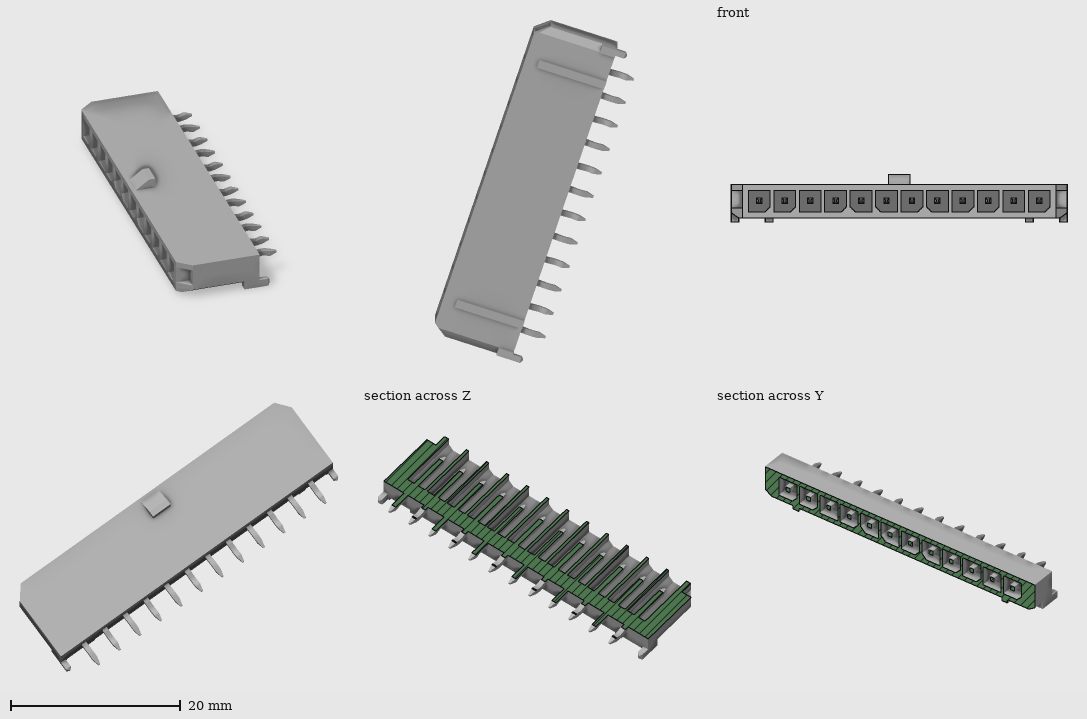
import cadquery as cq

length = 39.65
depth = 9.9
height = 3.95

corner_x = 1.35
corner_y = 1.65
window_bottom = 1.2
window_top = 3.25

bevel_x = 0.9
bevel_z = 0.65

end_margin = 3.35
cavity_size = 2.58
cavity_depth = 7.93
key_bevel = 0.65
keys = "RRNRLLRLRRNR"
pitch = (length - 2 * end_margin) / (len(keys) - 1)
cavity_centers = [end_margin + i * pitch for i in range(len(keys))]

latch_width = 2.55
latch_height = 1.2
latch_front = 0.48
latch_crest = 2.15
latch_rear = 2.9

standoff = 0.48
rail_offset = 4.0
rail_width = 0.95
rail_front = 1.55
foot_front = 8.05

tail_width = 0.67
tail_top = 0.48
tail_length = 1.3
tail_tip_length = 0.25
tail_tip_inset = 0.28

pin_z = 2.02
pin_width = 0.65
pin_height = 0.67
pin_tip = 0.25
pin_front = 2.38
front_taper = 0.8
rear_reach = 3.15
rear_taper = 0.87

kink_start = 0.48
kink_end = rear_reach - rear_taper
outer_arc = [(0.7, 0.08), (1.25, 0.15), (1.9, 0.08)]
inner_arc = [(1.07, 0.15), (1.45, 0.2), (1.82, 0.1)]
inner_blend = (2.05, 0.025)


def box(x0, x1, y0, y1, z0, z1):
    return cq.Workplane("XY").box(x1 - x0, y1 - y0, z1 - z0, centered=False).translate((x0, y0, z0))


def both_ends(shape):
    """Join a shape at the X = 0 end with its mirror image at the other end."""
    return shape.union(shape.mirror("YZ", (length / 2, 0, 0)))


def make_housing():
    body = box(0, length, 0, depth, 0, height)
    corner = cq.Workplane("XY").polyline([(0, 0), (corner_x, 0), (0, corner_y)]).close().extrude(height)
    window = box(0, corner_x, 0, corner_y, window_bottom, window_top)
    bevel = (
        cq.Workplane("XZ")
        .polyline([(0, 0), (bevel_x, 0), (0, bevel_z)])
        .close()
        .extrude(-depth)
    )
    return body.cut(both_ends(corner.union(window).union(bevel)))


def make_cavity(x_center, key):
    half = cavity_size / 2
    cavity = box(-half, half, 0, cavity_depth, -half, half)
    if key != "N":
        cavity = cavity.edges("|Y").edges("<Z").edges(">X" if key == "R" else "<X").chamfer(key_bevel)
    return cavity.translate((x_center, 0, height / 2))


def make_latch():
    profile = [
        (latch_front, height),
        (latch_crest, height + latch_height),
        (latch_rear, height + latch_height),
        (latch_rear, height),
    ]
    latch = cq.Workplane("YZ").polyline(profile).close().extrude(latch_width)
    return latch.translate(((length - latch_width) / 2, 0, 0))


def make_foot():
    foot = box(0, bevel_x, foot_front, depth, -standoff, bevel_z)
    tail = box(0, tail_width, foot_front, depth + tail_length, -standoff, tail_top)
    tail = tail.faces(">Y").chamfer(tail_tip_length, tail_tip_inset)
    rail = box(rail_offset, rail_offset + rail_width, rail_front, depth, -standoff, 0)
    return foot.union(tail).union(rail)


def make_taper(y, reach):
    """Pin point narrowing from the full section at y over the given reach along Y."""
    return (
        cq.Workplane("XZ", origin=(0, y, 0))
        .rect(pin_width, pin_height)
        .workplane(offset=-reach)
        .rect(pin_tip, pin_tip)
        .loft(ruled=True)
    )


def make_pin():
    """Pin on the Y axis whose kink bows towards +Z."""
    half = pin_height / 2
    outer = [(depth + y, half + rise) for y, rise in outer_arc]
    inner = [(depth + y, rise - half) for y, rise in inner_arc]
    blend = (depth + inner_blend[0], inner_blend[1] - half)
    shank_start = pin_front + front_taper
    shank_end = depth + kink_end
    shank = (
        cq.Workplane("YZ")
        .moveTo(shank_start, half)
        .lineTo(depth + kink_start, half)
        .lineTo(*outer[0])
        .threePointArc(outer[1], outer[2])
        .lineTo(shank_end, half)
        .lineTo(shank_end, -half)
        .threePointArc(blend, inner[2])
        .threePointArc(inner[1], inner[0])
        .lineTo(depth + kink_start, -half)
        .lineTo(shank_start, -half)
        .close()
        .extrude(pin_width / 2, both=True)
    )
    return shank.union(make_taper(shank_start, -front_taper)).union(make_taper(shank_end, rear_taper))


housing = make_housing().union(make_latch()).union(both_ends(make_foot()))
for x_center, key in zip(cavity_centers, keys):
    housing = housing.cut(make_cavity(x_center, key))

pin_up = make_pin()
pin_down = pin_up.mirror("XY")
result = housing
for i, x_center in enumerate(cavity_centers):
    pin = pin_down if i % 2 == 0 else pin_up
    result = result.union(pin.translate((x_center, 0, pin_z)))